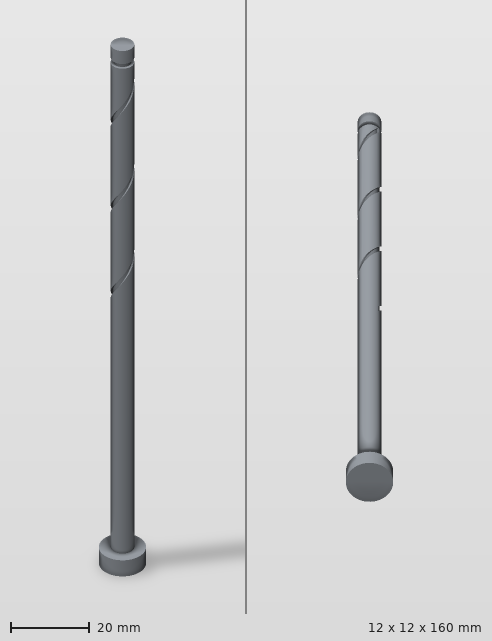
import cadquery as cq

total_length = 160.0
head_diameter = 12.0
head_thickness = 5.0
shaft_diameter = head_diameter / 2
shaft_radius = shaft_diameter / 2

tip_length = 4.0
ring_width = 1.5
ring_floor_diameter = 4.5
ring_bottom = total_length - tip_length - ring_width

helix_turns = 3
helix_pitch = 26.4
helix_height = helix_turns * helix_pitch
groove_height = 2.0
groove_depth = 0.5
cutter_overhang = 0.5
helix_top = ring_bottom - groove_height / 2
helix_bottom = helix_top - helix_height


def make_pin():
    head = cq.Workplane("XY").circle(head_diameter / 2).extrude(head_thickness)
    shaft = cq.Workplane("XY").circle(shaft_radius).extrude(total_length)
    return head.union(shaft)


def make_ring_cutter():
    return (
        cq.Workplane("XY", origin=(0, 0, ring_bottom))
        .circle(head_diameter / 2)
        .circle(ring_floor_diameter / 2)
        .extrude(ring_width)
    )


def make_helix_cutter():
    """Right-handed groove that starts and ends on the +Y side."""
    path = cq.Wire.makeHelix(helix_pitch, helix_height, shaft_radius)
    radial_size = groove_depth + cutter_overhang
    radial_center = shaft_radius + (cutter_overhang - groove_depth) / 2
    cutter = (
        cq.Workplane("XZ")
        .center(radial_center, 0)
        .rect(radial_size, groove_height)
        .sweep(cq.Workplane(path), isFrenet=True)
    )
    return cutter.rotate((0, 0, 0), (0, 0, 1), 90).translate((0, 0, helix_bottom))


result = make_pin().cut(make_ring_cutter()).cut(make_helix_cutter())